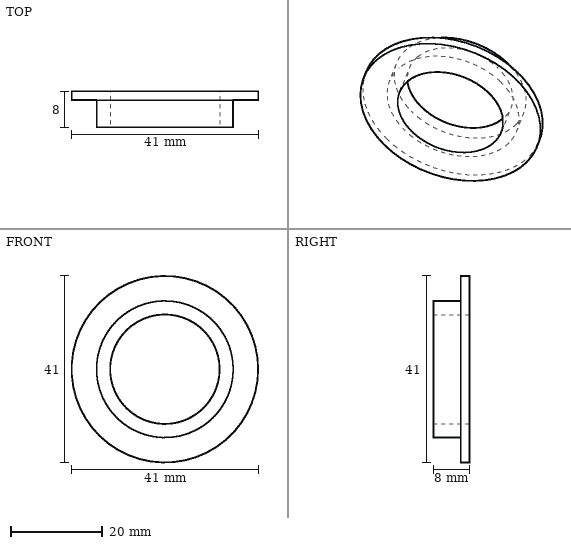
import cadquery as cq

flange_diameter = 41.0
sleeve_diameter = 30.0
bore_diameter = 24.0
flange_thickness = 2.0
total_length = 8.0


def cylinder_along_y(diameter, length):
    """Cylinder from the sleeve's free end (y = 0) toward +Y."""
    return cq.Workplane("XZ").circle(diameter / 2).extrude(-length)


sleeve = cylinder_along_y(sleeve_diameter, total_length)
flange = cylinder_along_y(flange_diameter, flange_thickness).translate(
    (0, total_length - flange_thickness, 0)
)
bore = cylinder_along_y(bore_diameter, total_length)

result = sleeve.union(flange).cut(bore)